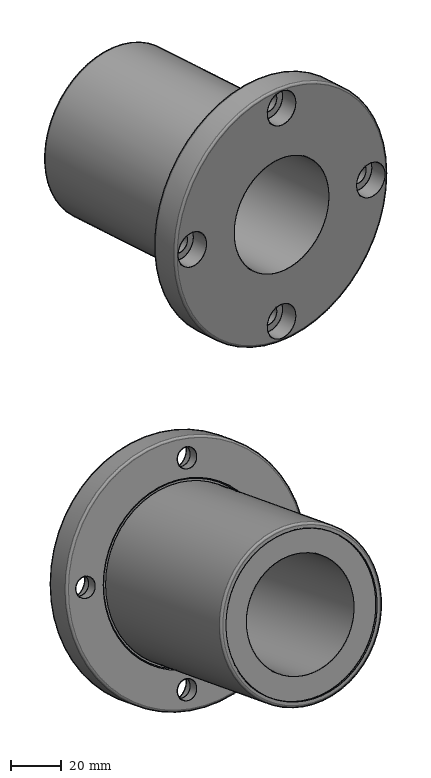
import cadquery as cq

total_length = 100.0
flange_diameter = 112.0
flange_thickness = 13.0
barrel_diameter = 75.0
bore_diameter = 50.0
edge_radius = 1.0

recess_depth = 1.0
recess_diameter = 70.1

relief_width = 1.3
relief_depth = 0.5

hole_count = 4
hole_diameter = 9.0
hole_circle_diameter = 94.1
counterbore_diameter = 15.0
counterbore_depth = 8.0

barrel_end = -total_length / 2
flange_end = total_length / 2
flange_start = flange_end - flange_thickness


def disc(start, length, diameter):
    """Solid cylinder along +X beginning at X = start."""
    return cq.Workplane("YZ", origin=(start, 0, 0)).circle(diameter / 2).extrude(length)


def hole_pattern(start, length, diameter):
    """Ring of cylinders along +X, one for each screw."""
    return (
        cq.Workplane("YZ", origin=(start, 0, 0))
        .polarArray(hole_circle_diameter / 2, 0, 360, hole_count)
        .circle(diameter / 2)
        .extrude(length)
    )


def relief_groove():
    """Ring cut into the flange face around the barrel; its outer wall slopes at 45 degrees."""
    inner_radius = barrel_diameter / 2
    outer_radius = inner_radius + relief_width
    return (
        cq.Workplane("XY")
        .moveTo(flange_start, inner_radius)
        .lineTo(flange_start, outer_radius)
        .lineTo(flange_start + relief_depth, outer_radius - relief_depth)
        .lineTo(flange_start + relief_depth, inner_radius)
        .close()
        .revolve(360, (0, 0, 0), (1, 0, 0))
    )


barrel = disc(barrel_end, total_length, barrel_diameter).faces("<X").edges().fillet(edge_radius)
flange = disc(flange_start, flange_thickness, flange_diameter).edges().fillet(edge_radius)

result = (
    barrel.union(flange)
    .cut(disc(barrel_end, total_length, bore_diameter))
    .cut(disc(barrel_end, recess_depth, recess_diameter))
    .cut(relief_groove())
    .cut(hole_pattern(flange_start, flange_thickness, hole_diameter))
    .cut(hole_pattern(flange_end - counterbore_depth, counterbore_depth, counterbore_diameter))
)